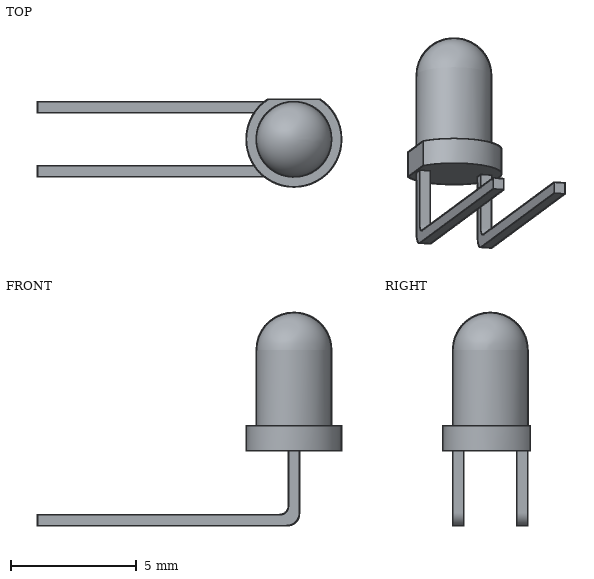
import cadquery as cq
import math

lens_diameter = 3.0
lens_radius = lens_diameter / 2
barrel_height = 3.0
flange_diameter = 3.8
flange_radius = flange_diameter / 2
flange_thickness = 1.0
flat_offset = 1.6

lead_size = 0.45
lead_pitch = 2.55
bend_inner_radius = 0.33
bend_outer_radius = 0.5

overall_length = 12.12
overall_height = 8.5
lead_tip_x = flange_radius - overall_length
flange_bottom_z = overall_height - lens_radius - barrel_height - flange_thickness


def make_lens():
    """Revolve the flange, barrel and dome, then cut the flange flat on +Y."""
    flange_top_z = flange_bottom_z + flange_thickness
    dome_base_z = flange_top_z + barrel_height
    dome_arc_mid = lens_radius * math.sqrt(0.5)
    revolved = (
        cq.Workplane("XZ")
        .moveTo(0, flange_bottom_z)
        .lineTo(flange_radius, flange_bottom_z)
        .lineTo(flange_radius, flange_top_z)
        .lineTo(lens_radius, flange_top_z)
        .lineTo(lens_radius, dome_base_z)
        .threePointArc((dome_arc_mid, dome_base_z + dome_arc_mid), (0, overall_height))
        .close()
        .revolve(360, (0, 0), (0, 1))
    )
    flat_cutter = (
        cq.Workplane("XY", origin=(0, flat_offset, flange_bottom_z))
        .box(flange_diameter, flange_radius, flange_thickness, centered=(True, False, False))
    )
    return revolved.cut(flat_cutter)


def make_lead(center_y):
    """Bent square lead whose upper end meets the underside of the flange."""
    half = lead_size / 2
    return (
        cq.Workplane("XZ", origin=(0, center_y, 0))
        .moveTo(lead_tip_x, 0)
        .lineTo(half - bend_outer_radius, 0)
        .radiusArc((half, bend_outer_radius), -bend_outer_radius)
        .lineTo(half, flange_bottom_z)
        .lineTo(-half, flange_bottom_z)
        .lineTo(-half, lead_size + bend_inner_radius)
        .radiusArc((-half - bend_inner_radius, lead_size), bend_inner_radius)
        .lineTo(lead_tip_x, lead_size)
        .close()
        .extrude(half, both=True)
    )


lens = make_lens()
leads = [make_lead(side * lead_pitch / 2) for side in (-1, 1)]

result = cq.Compound.makeCompound([lens.val(), *[lead.val() for lead in leads]])